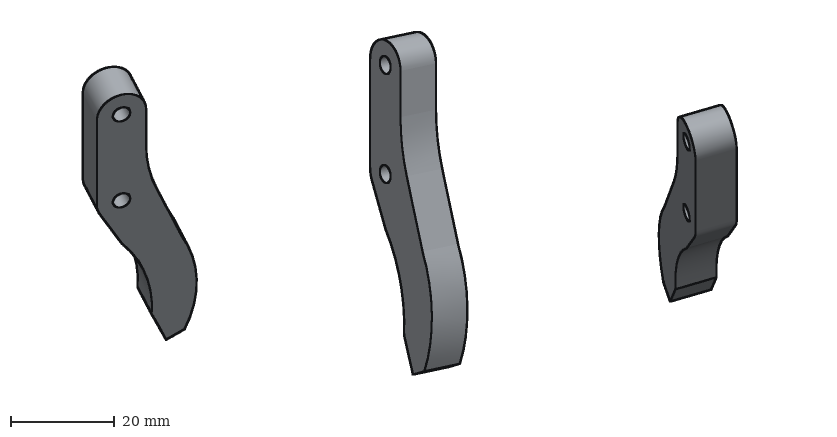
import cadquery as cq
import math

thickness = 8.5
end_radius = 5.0
hole_diameter = 3.5
hole_spacing = 22.0
heel_angle = math.radians(27)
back_angle = math.radians(20.5)
back_bend_start = -9.35
back_bend_radius = 32.65

throat_start = (0.0, -33.05)
throat_middle = (4.7, -41.8)
throat_end = (6.15, -52.95)
tip_front = (9.1, -60.3)
tip_back = (12.85, -58.65)
belly_middle = (15.35, -48.1)
belly_start_height = -34.7


def back_bend_point(angle):
    """Point on the back bend after turning by the given angle."""
    return (
        end_radius + back_bend_radius * (1 - math.cos(angle)),
        back_bend_start - back_bend_radius * math.sin(angle),
    )


def heel_point(angle):
    """Point on the rounded heel, which is concentric with the lower hole."""
    return (-end_radius * math.cos(angle), -hole_spacing - end_radius * math.sin(angle))


back_bend_end = back_bend_point(back_angle)
back_drop = back_bend_end[1] - belly_start_height
belly_start = (back_bend_end[0] + back_drop * math.tan(back_angle), belly_start_height)

outline = (
    cq.Workplane("YZ")
    .moveTo(end_radius, 0)
    .threePointArc((0, end_radius), (-end_radius, 0))
    .lineTo(*heel_point(0))
    .threePointArc(heel_point(heel_angle / 2), heel_point(heel_angle))
    .lineTo(*throat_start)
    .threePointArc(throat_middle, throat_end)
    .lineTo(*tip_front)
    .lineTo(*tip_back)
    .threePointArc(belly_middle, belly_start)
    .lineTo(*back_bend_end)
    .threePointArc(back_bend_point(back_angle / 2), (end_radius, back_bend_start))
    .close()
)
body = outline.extrude(thickness)

holes = (
    cq.Workplane("YZ")
    .pushPoints([(0, 0), (0, -hole_spacing)])
    .circle(hole_diameter / 2)
    .extrude(thickness)
)

result = body.cut(holes)